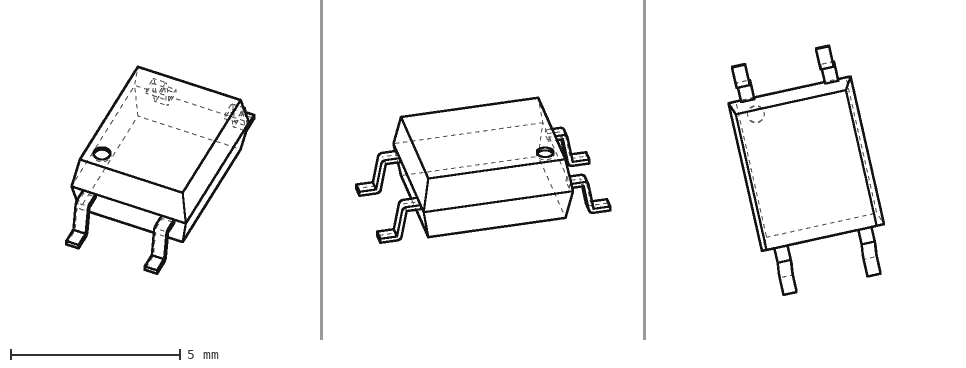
import cadquery as cq
import math

body_width = 3.7
body_length = 4.55
half_height = 1.05
standoff = 0.1
draft_angle = 10.0
parting_z = standoff + half_height
draft_slope = math.tan(math.radians(draft_angle))
face_inset = half_height * draft_slope

mark_diameter = 0.5
mark_depth = 0.1
mark_edge_distance = mark_diameter
mark_x = -(body_width / 2 - face_inset - mark_edge_distance)
mark_y = -(body_length / 2 - face_inset - mark_edge_distance)

lead_span = 7.0
lead_pitch = 2.54
lead_width = 0.4
lead_thickness = 0.15
lead_angle = 10.0
upper_bend_y = 2.695


def make_housing():
    """Housing with drafted sides above and below the parting plane, and its pin 1 mark."""
    upper = (
        cq.Workplane("XY")
        .workplane(offset=parting_z)
        .rect(body_width, body_length)
        .extrude(half_height, taper=draft_angle)
    )
    lower = upper.mirror("XY", (0, 0, parting_z))
    mark = (
        cq.Workplane("XY")
        .workplane(offset=parting_z + half_height - mark_depth)
        .center(mark_x, mark_y)
        .circle(mark_diameter / 2)
        .extrude(mark_depth)
    )
    return upper.union(lower).cut(mark)


def make_lead():
    """Lead on the +Y side, centred on X = 0, with sharp inner and round outer bends."""
    angle = math.radians(lead_angle)
    underside_z = parting_z - lead_thickness
    root_y = body_length / 2
    tip_y = lead_span / 2

    leg_drop = underside_z - lead_thickness
    leg_thickness_y = lead_thickness / math.cos(angle)
    lower_bend_y = upper_bend_y + leg_thickness_y + leg_drop * math.tan(angle)

    end_y = lead_thickness * math.cos(angle)
    end_z = lead_thickness * math.sin(angle)
    middle_angle = (angle + math.pi / 2) / 2
    middle_y = lead_thickness * math.cos(middle_angle)
    middle_z = lead_thickness * math.sin(middle_angle)

    profile = (
        cq.Workplane("YZ")
        .moveTo(root_y, parting_z)
        .lineTo(upper_bend_y, parting_z)
        .threePointArc(
            (upper_bend_y + middle_y, underside_z + middle_z),
            (upper_bend_y + end_y, underside_z + end_z),
        )
        .lineTo(lower_bend_y, lead_thickness)
        .lineTo(tip_y, lead_thickness)
        .lineTo(tip_y, 0)
        .lineTo(lower_bend_y, 0)
        .threePointArc(
            (lower_bend_y - middle_y, lead_thickness - middle_z),
            (lower_bend_y - end_y, lead_thickness - end_z),
        )
        .lineTo(upper_bend_y, underside_z)
        .lineTo(root_y - lead_thickness * draft_slope, underside_z)
        .close()
    )
    return profile.extrude(lead_width / 2, both=True)


housing = make_housing()

leads = []
for side_rotation in (0, 180):
    for lead_x in (-lead_pitch / 2, lead_pitch / 2):
        lead = make_lead().translate((lead_x, 0, 0))
        leads.append(lead.rotate((0, 0, 0), (0, 0, 1), side_rotation).val())

result = cq.Compound.makeCompound([housing.val(), *leads])